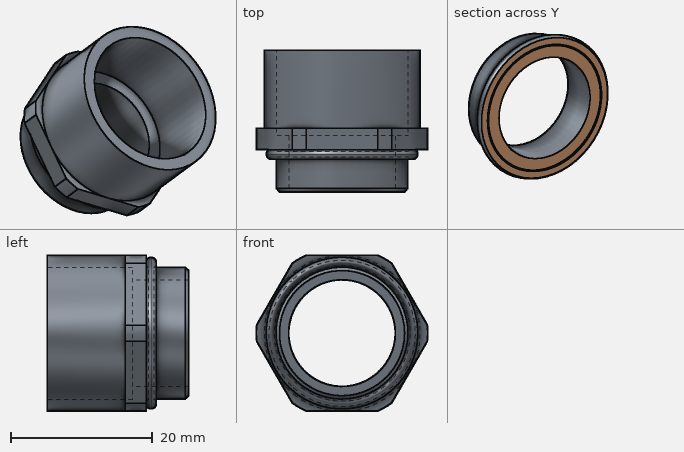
import cadquery as cq

barrel_diameter = 22.0
barrel_length = 11.0
hex_width = 24.2
hex_thickness = 3.0
corner_turn = 30
spigot_diameter = 18.6
spigot_length = 6.0
spigot_chamfer_length = 0.55
spigot_chamfer_depth = 0.48
front_bore_diameter = 15.0
front_bore_depth = 8.0
rear_bore_diameter = spigot_diameter
ring_section_diameter = 1.5
ring_center_diameter = 19.88
ring_embed = 0.1

hex_start = spigot_length
barrel_start = hex_start + hex_thickness
total_length = barrel_start + barrel_length


def cylinder(diameter, start, end):
    """Solid cylinder about the Y axis between two stations."""
    return cq.Workplane("XZ", origin=(0, start, 0)).circle(diameter / 2).extrude(start - end)


def make_hex_collar():
    """Hexagon with flats up and down, its corners turned to a cylinder."""
    prism = (
        cq.Workplane("XZ", origin=(0, hex_start, 0))
        .polygon(6, barrel_diameter, circumscribed=True)
        .extrude(-hex_thickness)
    )
    prism = prism.rotate((0, 0, 0), (0, 1, 0), corner_turn)
    return prism.intersect(cylinder(hex_width, hex_start, barrel_start))


def make_seal_ring():
    """Round-section ring around the spigot, seated slightly into the collar and spigot."""
    ring_radius = ring_section_diameter / 2
    ring_y = hex_start + ring_embed - ring_radius
    return (
        cq.Workplane("XY")
        .center(ring_center_diameter / 2, ring_y)
        .circle(ring_radius)
        .revolve(360, (-ring_center_diameter / 2, 0), (-ring_center_diameter / 2, 1))
    )


def make_spigot():
    """Plain tube end with a turned lead-in chamfer."""
    radius = spigot_diameter / 2
    return (
        cq.Workplane("XY")
        .moveTo(0, 0)
        .lineTo(radius - spigot_chamfer_depth, 0)
        .lineTo(radius, spigot_chamfer_length)
        .lineTo(radius, hex_start)
        .lineTo(0, hex_start)
        .close()
        .revolve(360, (0, 0), (0, 1))
    )


barrel = cylinder(barrel_diameter, barrel_start, total_length)
body = make_spigot().union(make_hex_collar()).union(barrel).union(make_seal_ring())

front_bore = cylinder(front_bore_diameter, 0, front_bore_depth)
rear_bore = cylinder(rear_bore_diameter, front_bore_depth, total_length)
result = body.cut(front_bore).cut(rear_bore)